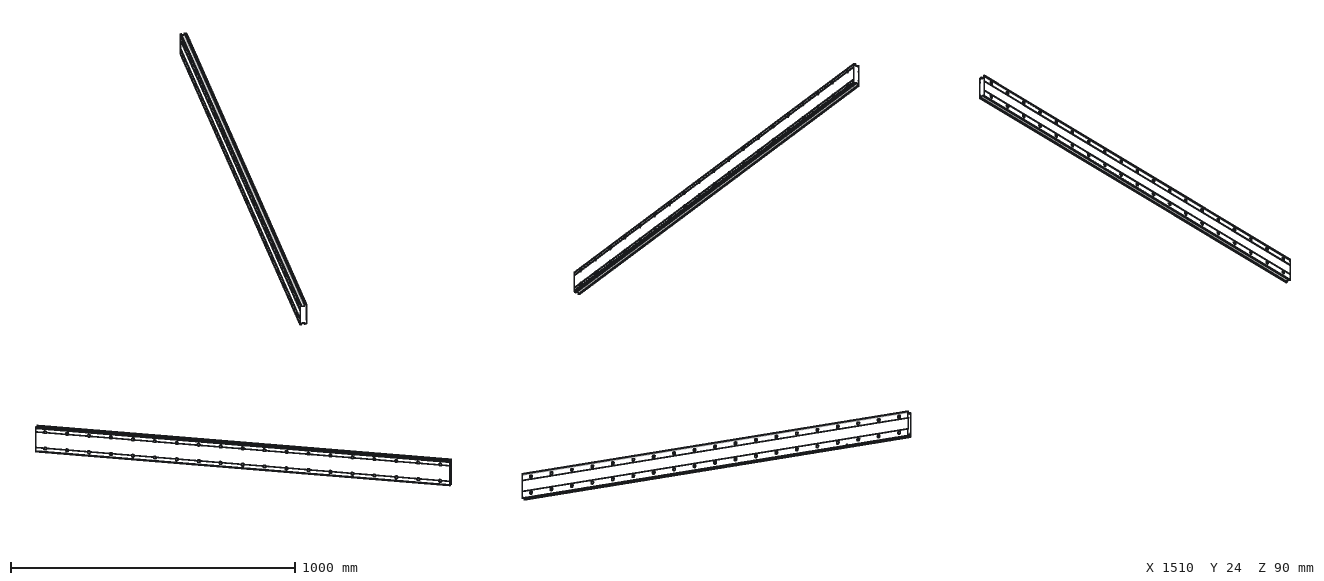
import cadquery as cq

length = 1510.0
thickness = 24.0
height = 90.0

rear_chamfer = 3.8

groove_width = 12.0
groove_depth = 6.0
groove_center_y = -2.3
groove_corner_radius = 3.0

channel_depth = 0.9
front_channel_height = 41.0
rear_channel_height = 57.0

hole_diameter = 9.0
hole_pitch = 80.0
holes_per_row = 19
row_spacing = 60.0

FRONT, REAR = -1, 1
BOTTOM, TOP = -1, 1


def full_length_block(depth, tall, y, z):
    """Box as long as the bar, with its cross-section centered at (y, z)."""
    return cq.Workplane("XY").box(length, depth, tall).translate((0, y, z))


def bar():
    return full_length_block(thickness, height, 0, 0).edges("|X and >Y").chamfer(rear_chamfer)


def face_channel(side, channel_height):
    y = side * (thickness - channel_depth) / 2
    return full_length_block(channel_depth, channel_height, y, 0)


def edge_groove(side):
    z = side * (height - groove_depth) / 2
    groove = full_length_block(groove_width, groove_depth, groove_center_y, z)
    floor = "<Z" if side == TOP else ">Z"
    return groove.edges(f"|X and {floor}").fillet(groove_corner_radius)


def hole_rows():
    return (
        cq.Workplane("XZ")
        .rarray(hole_pitch, row_spacing, holes_per_row, 2)
        .circle(hole_diameter / 2)
        .extrude(thickness, both=True)
    )


result = bar()
result = result.cut(face_channel(FRONT, front_channel_height))
result = result.cut(face_channel(REAR, rear_channel_height))
for side in (BOTTOM, TOP):
    result = result.cut(edge_groove(side))
result = result.cut(hole_rows())